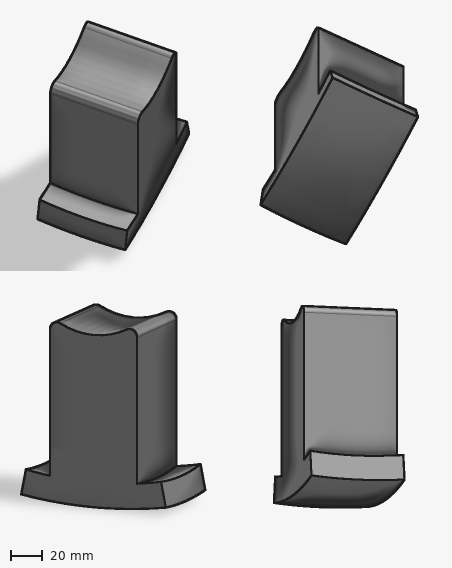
import cadquery as cq
import math

width = 60.0
post_depth = 60.0
base_depth = 100.0
height = 117.7

lip_radius = 5.0
groove_radius = 50.0

bottom_radius = 311.9
top_radius = 240.1
base_thickness = 15.3

bottom_center_z = bottom_radius
top_center_z = base_thickness + top_radius


def sphere(radius, center_z):
    return cq.Workplane("XY").sphere(radius).translate((0, 0, center_z))


def make_post():
    """Post with a concave saddle that runs smoothly into two rounded lips."""
    half_depth = post_depth / 2
    lip_y = half_depth - lip_radius
    lip_z = height - lip_radius
    center_distance = groove_radius + lip_radius
    groove_center_z = lip_z + math.sqrt(center_distance**2 - lip_y**2)
    groove_bottom_z = groove_center_z - groove_radius

    tangent_y = lip_y * groove_radius / center_distance
    tangent_z = lip_z + (groove_center_z - lip_z) * lip_radius / center_distance

    return (
        cq.Workplane("YZ")
        .moveTo(-half_depth, 0)
        .lineTo(half_depth, 0)
        .lineTo(half_depth, lip_z)
        .threePointArc((lip_y, height), (tangent_y, tangent_z))
        .threePointArc((0, groove_bottom_z), (-tangent_y, tangent_z))
        .threePointArc((-lip_y, height), (-half_depth, lip_z))
        .close()
        .extrude(width / 2, both=True)
    )


def make_base():
    """Wedge with ends pointing at the upper sphere's centre, hollowed by that sphere."""
    half_depth = base_depth / 2
    end_z = bottom_center_z - math.sqrt(bottom_radius**2 - half_depth**2)
    bottom_half_depth = half_depth * top_center_z / (top_center_z - end_z)

    wedge = (
        cq.Workplane("YZ")
        .polyline([(-bottom_half_depth, 0), (bottom_half_depth, 0), (0, top_center_z)])
        .close()
        .extrude(width / 2, both=True)
    )
    return wedge.cut(sphere(top_radius, top_center_z))


result = make_base().union(make_post()).intersect(sphere(bottom_radius, bottom_center_z))